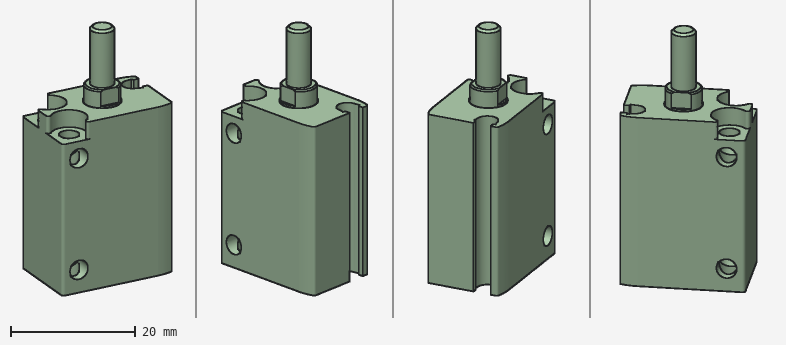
import cadquery as cq
import math

width = 13.5
depth = 20.5
housing_height = 29.5
front_corner_radius = 0.5
rear_corner_radius = 0.42
flank_radius = 8.5
flank_length = 2.98

mount_diameter = 3.3
mount_x = 3.5
mount_y = 3.0
cross_hole_heights = (4.0, 23.5)
seat_diameter = 6.0
seat_depth = 3.0
seat_blend_radius = 0.42
seat_straight = 0.42

slot_x = -3.5
slot_mouth_width = 3.05
slot_lip_depth = 0.95
slot_shoulder_width = 3.9
slot_shoulder_depth = 1.1
slot_radius = 1.8
slot_floor_depth = 3.75

rod_y = 11.0
rod_top = 42.5
rod_diameter = 4.0
rod_tip_chamfer = 0.42
rod_length = 10.0
collar_diameter = 6.0
collar_chamfer = 0.25
collar_seat_depth = seat_depth
across_flats = 5.0
flat_offset = 0.25
bore_chamfer = 0.15

half_width = width / 2
collar_top = rod_top - rod_length
collar_bottom = housing_height - collar_seat_depth


def make_block():
    flank_angle = math.asin(flank_length / flank_radius)
    flank_start = depth - flank_length

    def flank_point(angle):
        inset = flank_radius * (1 - math.cos(angle))
        return half_width - inset, flank_start + flank_radius * math.sin(angle)

    middle_x, middle_y = flank_point(flank_angle / 2)
    end_x, end_y = flank_point(flank_angle)
    block = (
        cq.Workplane("XY")
        .moveTo(-half_width, 0)
        .lineTo(half_width, 0)
        .lineTo(half_width, flank_start)
        .threePointArc((middle_x, middle_y), (end_x, end_y))
        .lineTo(-end_x, end_y)
        .threePointArc((-middle_x, middle_y), (-half_width, flank_start))
        .close()
        .extrude(housing_height)
    )
    block = block.edges("|Z and <Y").fillet(front_corner_radius)
    return block.edges("|Z and >Y").fillet(rear_corner_radius)


def make_slot():
    half_mouth = slot_mouth_width / 2
    half_shoulder = slot_shoulder_width / 2
    arc_y = slot_floor_depth - slot_radius
    return (
        cq.Workplane("XY")
        .moveTo(slot_x - half_mouth, depth)
        .lineTo(slot_x - half_mouth, depth - slot_lip_depth)
        .lineTo(slot_x - half_shoulder, depth - slot_shoulder_depth)
        .lineTo(slot_x - slot_radius, depth - arc_y)
        .threePointArc((slot_x, depth - slot_floor_depth), (slot_x + slot_radius, depth - arc_y))
        .lineTo(slot_x + half_shoulder, depth - slot_shoulder_depth)
        .lineTo(slot_x + half_mouth, depth - slot_lip_depth)
        .lineTo(slot_x + half_mouth, depth)
        .close()
        .extrude(housing_height)
    )


def make_seat(side):
    """Corner seat: an arc around the hole, led by short tangent lines
    and blend arcs into the side and front faces.
    """
    seat_radius = seat_diameter / 2
    radius_sum = seat_radius + seat_blend_radius
    reach = math.hypot(radius_sum, seat_straight)
    tangent_turn = math.atan2(seat_straight, radius_sum)

    side_x = half_width - seat_blend_radius
    side_y = mount_y + math.sqrt(reach**2 - (side_x - mount_x) ** 2)
    front_y = seat_blend_radius
    front_x = mount_x - math.sqrt(reach**2 - (mount_y - front_y) ** 2)

    side_angle = math.atan2(side_y - mount_y, side_x - mount_x) + tangent_turn
    front_angle = math.atan2(front_y - mount_y, front_x - mount_x) + 2 * math.pi - tangent_turn

    def point(center_x, center_y, radius, angle):
        return side * (center_x + radius * math.cos(angle)), center_y + radius * math.sin(angle)

    def seat_point(angle):
        return point(mount_x, mount_y, seat_radius, angle)

    def side_blend_point(angle):
        return point(side_x, side_y, seat_blend_radius, angle)

    def front_blend_point(angle):
        return point(front_x, front_y, seat_blend_radius, angle)

    side_blend_end = side_angle + math.pi
    front_blend_start = front_angle - math.pi
    side_middle = (side_blend_end + 2 * math.pi) / 2
    front_middle = (front_blend_start - math.pi / 2) / 2
    return (
        cq.Workplane("XY", origin=(0, 0, housing_height - seat_depth))
        .moveTo(side * half_width, 0)
        .lineTo(side * half_width, side_y)
        .threePointArc(side_blend_point(side_middle), side_blend_point(side_blend_end))
        .lineTo(*seat_point(side_angle))
        .threePointArc(seat_point((side_angle + front_angle) / 2), seat_point(front_angle))
        .lineTo(*front_blend_point(front_blend_start))
        .threePointArc(front_blend_point(front_middle), (side * front_x, 0))
        .close()
        .extrude(seat_depth)
    )


def make_mount_holes():
    vertical = (
        cq.Workplane("XY")
        .pushPoints([(-mount_x, mount_y), (mount_x, mount_y)])
        .circle(mount_diameter / 2)
        .extrude(housing_height)
    )
    cross = (
        cq.Workplane("YZ", origin=(-half_width, 0, 0))
        .pushPoints([(mount_y, height) for height in cross_hole_heights])
        .circle(mount_diameter / 2)
        .extrude(width)
    )
    return vertical.union(cross)


def make_collar_bore():
    bore = (
        cq.Workplane("XY", origin=(0, rod_y, collar_bottom))
        .circle(collar_diameter / 2)
        .extrude(collar_seat_depth)
    )
    flare = (
        cq.Workplane("XY", origin=(0, rod_y, housing_height))
        .circle(collar_diameter / 2 + bore_chamfer)
        .extrude(-bore_chamfer, taper=45)
    )
    return bore.union(flare)


def make_housing():
    housing = make_block().cut(make_slot())
    for side in (-1, 1):
        housing = housing.cut(make_seat(side))
    return housing.cut(make_mount_holes()).cut(make_collar_bore())


def make_rod():
    collar = (
        cq.Workplane("XY", origin=(0, rod_y, collar_bottom))
        .circle(collar_diameter / 2)
        .extrude(collar_top - collar_bottom)
        .faces(">Z")
        .chamfer(collar_chamfer)
    )
    flats_bottom = housing_height + flat_offset
    flat_cut_width = collar_diameter - across_flats
    for side in (-1, 1):
        cutter = cq.Workplane("XY").box(
            flat_cut_width, collar_diameter, collar_top - flats_bottom, centered=(True, True, False)
        )
        offset_x = side * (across_flats + flat_cut_width) / 2
        collar = collar.cut(cutter.translate((offset_x, rod_y, flats_bottom)))
    stem = (
        cq.Workplane("XY", origin=(0, rod_y, collar_top))
        .circle(rod_diameter / 2)
        .extrude(rod_length)
        .faces(">Z")
        .chamfer(rod_tip_chamfer)
    )
    return collar.union(stem)


housing = make_housing()
rod = make_rod()
result = cq.Compound.makeCompound([housing.solids().val(), rod.solids().val()])